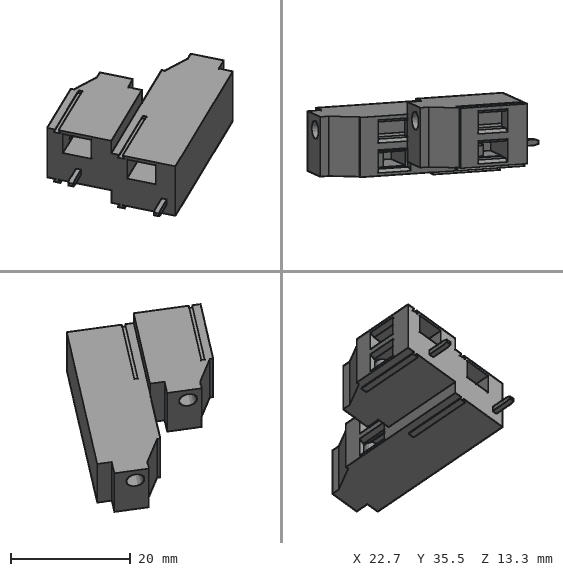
import cadquery as cq


pole_width = 11.342
pole_height = 10.15
short_length = 18.0
long_length = 31.5
level_drop = 2.55

front_flat = 0.57
nose_start = 3.0
nose_end = 8.88
slope_start = 6.05
slope_end = 1.5
shoulder_depth = 2.5

dovetail_center = 1.75
dovetail_narrow = 0.57
dovetail_wide = 1.2
dovetail_depth = 0.6
dovetail_length = short_length - slope_start

entry_left = 2.8
entry_right = 7.85
entry_roof = 0.65
entry_height = 3.87
entry_end_beyond_window = 1.78
through_diameter = 3.0

window_rear_gap = 9.23
short_window_width = 5.25
long_window_width = 5.8
window_height = 3.9
upper_window_drop = 0.65
lower_window_drop = 5.7
bevel_depth = 0.92
bevel_height = 0.5

jamb_depth = 1.05
ledge_depth = 1.4
jamb_radius = 1.17
chamber_rear_gap = 1.7
chamber_end = entry_right
short_chamber_width = 3.55
short_chamber_height = 2.7
short_jamb_height = 1.8
long_chamber_width = 3.65
long_chamber_height = 2.5

pin_width = 0.92
pin_height = 1.0
pin_length = 4.0
pin_tip_length = 0.7
pin_tip_height = 0.57
pin_drop = 7.65
short_pin_x = 5.57
long_pin_x = 9.37

overlap = 0.35


def box(x0, x1, y0, y1, z0, z1):
    """Axis-aligned box given by its limits."""
    return cq.Workplane("XY").box(x1 - x0, y1 - y0, z1 - z0, centered=False).translate((x0, y0, z0))


def pole_body(length):
    slope_y = length - slope_start
    shoulder_y = length - shoulder_depth
    outline = [
        (0, 0),
        (0, slope_y),
        (front_flat, slope_y),
        (nose_start, length - slope_end),
        (nose_start, length),
        (nose_end, length),
        (nose_end, shoulder_y),
        (pole_width, shoulder_y),
        (pole_width, 0),
    ]
    return cq.Workplane("XY").polyline(outline).close().extrude(pole_height)


def dovetail(z_top):
    """Dovetail bar, narrow at z_top and wide below, starting at the pin face."""
    z_bottom = z_top - dovetail_depth
    section = [
        (dovetail_center - dovetail_narrow / 2, z_top),
        (dovetail_center + dovetail_narrow / 2, z_top),
        (dovetail_center + dovetail_wide / 2, z_bottom),
        (dovetail_center - dovetail_wide / 2, z_bottom),
    ]
    return cq.Workplane("XZ").polyline(section).close().extrude(-dovetail_length)


def wire_entry(length):
    """Rectangular pocket from the pin face, continued as a round hole to the rear."""
    z_top = pole_height - entry_roof
    z_bottom = z_top - entry_height
    pocket_end = length - window_rear_gap + entry_end_beyond_window
    pocket = box(entry_left, entry_right, 0, pocket_end, z_bottom, z_top)
    hole = (
        cq.Workplane("XZ")
        .center((entry_left + entry_right) / 2, (z_bottom + z_top) / 2)
        .circle(through_diameter / 2)
        .extrude(-length)
    )
    return pocket.union(hole)


def side_window(length, width, drop, depth):
    """Window in the left face, bevelled along its upper and lower edges."""
    z_top = pole_height - drop
    z_bottom = z_top - window_height
    section = [
        (0, z_bottom),
        (bevel_depth, z_bottom + bevel_height),
        (depth, z_bottom + bevel_height),
        (depth, z_top - bevel_height),
        (bevel_depth, z_top - bevel_height),
        (0, z_top),
    ]
    rear = length - window_rear_gap
    return cq.Workplane("XZ", origin=(0, rear, 0)).polyline(section).close().extrude(width)


def clamp_chamber(length, window_width, width, height, jamb_height, recess_depth):
    """Chamber behind the lower window, with a rounded jamb on its rear side.

    A recess of recess_depth, as tall as the window's inner edges, runs in front of
    the chamber and passes above and below the jamb.
    """
    middle = pole_height - lower_window_drop - window_height / 2
    window_rear = length - window_rear_gap
    rear = window_rear - chamber_rear_gap
    front = rear - width
    z_bottom = middle - height / 2
    z_top = middle + height / 2
    recess_half = window_height / 2 - bevel_height
    chamber = box(bevel_depth, chamber_end, front, rear, z_bottom, z_top)
    recess = box(bevel_depth, recess_depth, window_rear - window_width, rear + jamb_radius,
                 middle - recess_half, middle + recess_half)
    opening = side_window(length, window_width, lower_window_drop, ledge_depth)
    jamb_outline = (
        cq.Workplane("XY")
        .workplane(offset=middle - jamb_height / 2)
        .moveTo(jamb_depth, window_rear)
        .lineTo(jamb_depth, rear + jamb_radius)
        .radiusArc((jamb_depth + jamb_radius, rear), -jamb_radius)
        .lineTo(chamber_end, rear)
        .lineTo(chamber_end, window_rear)
        .close()
    )
    lead_in = box(bevel_depth, jamb_depth + jamb_radius, rear - overlap, rear + jamb_radius,
                  middle - jamb_height / 2, middle + jamb_height / 2)
    return opening.union(recess).union(chamber).union(lead_in).cut(jamb_outline.extrude(jamb_height))


def solder_pin(x_center):
    """Flat pin leaving the pin face toward -Y, tapered in height at the tip."""
    z_center = pole_height - pin_drop
    half = pin_height / 2
    tip_half = pin_tip_height / 2
    taper_y = pin_tip_length - pin_length
    side = [
        (overlap, z_center - half),
        (taper_y, z_center - half),
        (-pin_length, z_center - tip_half),
        (-pin_length, z_center + tip_half),
        (taper_y, z_center + half),
        (overlap, z_center + half),
    ]
    return (
        cq.Workplane("YZ", origin=(x_center, 0, 0))
        .polyline(side)
        .close()
        .extrude(pin_width / 2, both=True)
    )


def pole(length, window_width, pin_x, chamber):
    body = pole_body(length)
    body = body.cut(dovetail(pole_height))
    body = body.cut(wire_entry(length))
    body = body.cut(side_window(length, window_width, upper_window_drop, entry_left + overlap))
    body = body.cut(chamber)
    body = body.union(dovetail(0))
    return body.union(solder_pin(pin_x))


short_chamber = clamp_chamber(
    short_length,
    short_window_width,
    width=short_chamber_width,
    height=short_chamber_height,
    jamb_height=short_jamb_height,
    recess_depth=entry_left,
)
short_pole = pole(short_length, short_window_width, short_pin_x, short_chamber)

long_chamber = clamp_chamber(
    long_length,
    long_window_width,
    width=long_chamber_width,
    height=long_chamber_height,
    jamb_height=long_chamber_height,
    recess_depth=ledge_depth,
)
long_pole = pole(long_length, long_window_width, long_pin_x, long_chamber)

result = short_pole.union(long_pole.translate((pole_width, 0, -level_drop)))